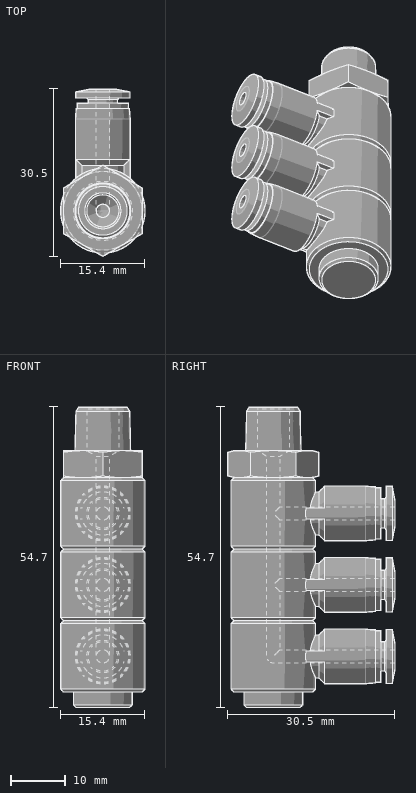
import cadquery as cq
import math

port_count = 3
body_radius = 7.7
segment_pitch = 13.0
segment_chamfer = 0.55

plug_radius = 10.8 / 2
plug_height = 2.8
plug_chamfer = 0.5

hex_across_flats = 14.4
hex_height = 4.9
hex_chamfer_angle = 15
hex_face_radius = 7.15
total_height = 54.7
thread_base_radius = 5.1
thread_tip_radius = 4.9
thread_chamfer = 0.8
thread_chamfer_width = 0.5

bore_radius = 5.85 / 2
bore_rim_radius = 3.3
bore_rim_depth = 0.4
bore_cone_angle = 59
passage_radius = 1.2

neck_radius = 3.95
port_radius = 10.0 / 2
shoulder_start_y = 9.35
taper_start_y = 16.75
taper_end_y = 18.6
taper_end_radius = 4.85
ring_radius = 9.4 / 2
ring_end_y = 19.6
sleeve_radius = 5.35 / 2
sleeve_flare = 0.3
flange_start_y = 20.5
flange_radius = 9.9 / 2
flange_end_y = 21.65
port_end_y = 22.15
port_face_radius = 2.4
rib_height = 1.95

column_top = plug_height + port_count * segment_pitch
hex_top = column_top + hex_height
port_heights = [plug_height + (i + 0.5) * segment_pitch for i in range(port_count)]


def cylinder(radius, bottom, height):
    return cq.Workplane("XY").workplane(offset=bottom).circle(radius).extrude(height)


def make_column():
    """Stack the chamfered segments on top of the end plug."""
    column = cylinder(plug_radius, 0, plug_height).faces("<Z").chamfer(plug_chamfer)
    for i in range(port_count):
        segment = cylinder(body_radius, plug_height + i * segment_pitch, segment_pitch)
        column = column.union(segment.faces("<Z or >Z").chamfer(segment_chamfer))
    return column


def make_hexagon():
    """Hexagon with corners on the Y axis, turned off to a cone at both faces."""
    corner_radius = hex_across_flats / math.sqrt(3)
    corner_drop = (corner_radius - hex_face_radius) * math.tan(math.radians(hex_chamfer_angle))
    prism = (
        cq.Workplane("XY")
        .workplane(offset=column_top)
        .polygon(6, 2 * corner_radius)
        .extrude(hex_height)
        .rotate((0, 0, 0), (0, 0, 1), 30)
    )
    envelope = (
        cq.Workplane("XZ")
        .moveTo(0, column_top)
        .lineTo(hex_face_radius, column_top)
        .lineTo(corner_radius, column_top + corner_drop)
        .lineTo(corner_radius, hex_top - corner_drop)
        .lineTo(hex_face_radius, hex_top)
        .lineTo(0, hex_top)
        .close()
        .revolve(360, (0, 0), (0, 1))
    )
    return prism.intersect(envelope)


def make_thread():
    """Tapered stub with a chamfered tip."""
    return (
        cq.Workplane("XZ")
        .moveTo(0, hex_top)
        .lineTo(thread_base_radius, hex_top)
        .lineTo(thread_tip_radius, total_height - thread_chamfer)
        .lineTo(thread_tip_radius - thread_chamfer_width, total_height)
        .lineTo(0, total_height)
        .close()
        .revolve(360, (0, 0), (0, 1))
    )


def make_port(height):
    """Turned port body with its release sleeve, plus the two side ribs tying it to the column."""
    shoulder_end_y = shoulder_start_y - (port_radius - neck_radius)
    turned = (
        cq.Workplane("XY")
        .lineTo(neck_radius, 0)
        .lineTo(neck_radius, shoulder_end_y)
        .lineTo(port_radius, shoulder_start_y)
        .lineTo(port_radius, taper_start_y)
        .lineTo(taper_end_radius, taper_end_y)
        .lineTo(ring_radius, taper_end_y)
        .lineTo(ring_radius, ring_end_y)
        .lineTo(sleeve_radius, ring_end_y)
        .lineTo(sleeve_radius, flange_start_y - sleeve_flare)
        .lineTo(sleeve_radius + sleeve_flare, flange_start_y)
        .lineTo(flange_radius, flange_start_y)
        .lineTo(flange_radius, flange_end_y)
        .lineTo(port_face_radius, port_end_y)
        .lineTo(0, port_end_y)
        .close()
        .revolve(360, (0, 0), (0, 1))
    )
    rib_bar = cq.Workplane("XZ").circle(port_radius).extrude(-shoulder_start_y)
    rib_slab = cq.Workplane("XY").box(2 * port_radius, 2 * shoulder_start_y, rib_height)
    return turned.union(rib_bar.intersect(rib_slab)).translate((0, 0, height))


def make_central_passage():
    """Chamfered bore with a conical floor above a narrow passage that ends in a half-sphere."""
    cone_depth = (bore_radius - passage_radius) / math.tan(math.radians(bore_cone_angle))
    return (
        cq.Workplane("XZ")
        .moveTo(0, total_height)
        .lineTo(bore_rim_radius, total_height)
        .lineTo(bore_radius, total_height - bore_rim_depth)
        .lineTo(bore_radius, hex_top)
        .lineTo(passage_radius, hex_top - cone_depth)
        .lineTo(passage_radius, port_heights[0])
        .radiusArc((0, port_heights[0] - passage_radius), passage_radius)
        .close()
        .revolve(360, (0, 0), (0, 1))
    )


def make_port_passage(height):
    """Straight passage from the Z axis out through the end of a port."""
    return cq.Workplane("XZ").circle(passage_radius).extrude(-port_end_y).translate((0, 0, height))


result = make_column().union(make_hexagon()).union(make_thread())
for port_height in port_heights:
    result = result.union(make_port(port_height))
result = result.cut(make_central_passage())
for port_height in port_heights:
    result = result.cut(make_port_passage(port_height))